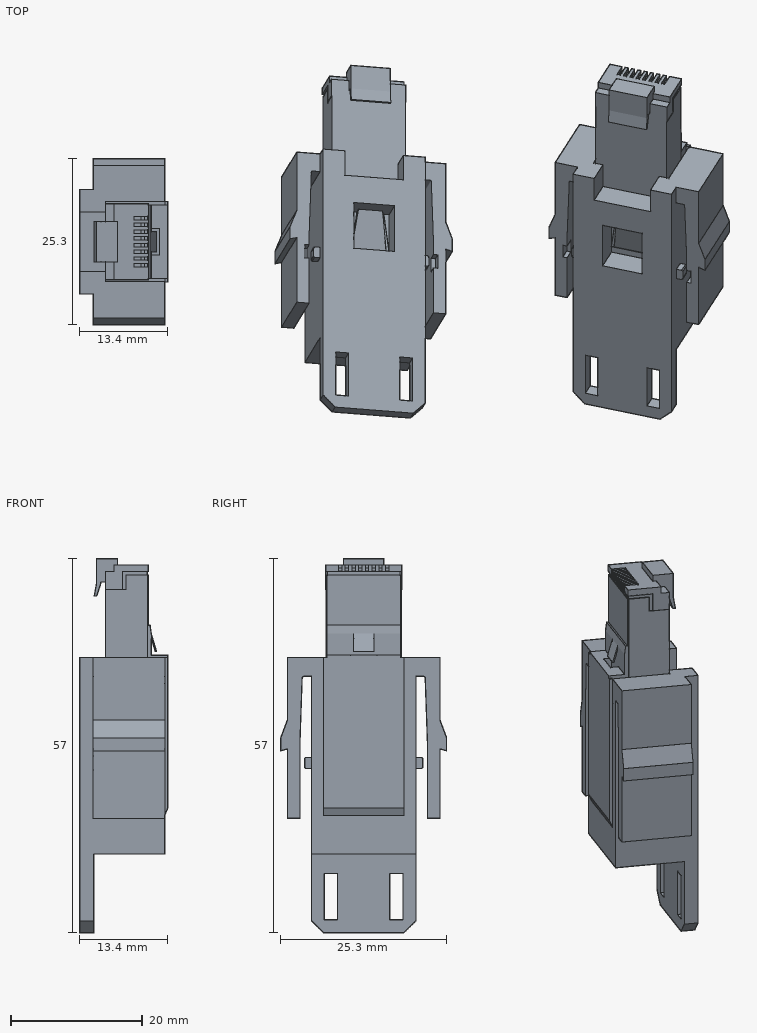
import cadquery as cq


plate_thick = 2.15
body_half = 8.0
body_depth = 13.0
body_bottom = 11.95
body_top = 41.9
corner_run = 1.9
corner_rise = 1.8
notch_half = 4.55
notch_depth = 4.0
slot_inner = 4.0
slot_width = 2.0
slot_bottom = 2.0
slot_height = 7.0

window_half = 3.2
window_bottom = 26.15
window_top = 33.6

lever_sill = 1.1
lever_bottom = window_bottom + lever_sill
lever_taper = 0.85
lever_inset = 0.45
lever_base = 0.1
lever_reach = 1.3

arm_back = 2.05
arm_outer = 11.6
arm_bottom = 17.4
arm_inner_top = 9.35
arm_inner_bottom = 9.7
bridge_thick = 2.9
bridge_fillet = 0.2
taper_end = 29.05
catch_outer = 12.65
catch_top = 32.4
catch_edge = 29.65
catch_root = 27.95
catch_tip = 27.7

pin_reach = 1.0
pin_size = 1.7
pin_chamfer = 0.15
pin_middle = 25.85
pocket_depth = 0.7
pocket_height = 2.15

plug_back = 3.95
plug_front = 10.3
plug_half = 5.75
plug_gap = 0.35
shield_thick = 0.15
shield_half = 5.6
shield_top = 54.45

cap_half = 5.8
cap_top = 56.0
cap_lip_bottom = 54.95
cap_step_front = 5.25
cap_leg_front = 6.55
cap_leg_bottom = 52.2
seam_width = 0.5
seam_depth = 0.2
hook_half = 3.1
hook_back = 2.55
hook_front = 5.8
hook_top = 56.95
hook_shoulder = 53.35
hook_inner = 3.25
hook_bend = 53.1
hook_tip_back = 2.2
hook_tip_front = 2.6
hook_tip = 51.25

contact_count = 8
contact_pitch = 1.0
contact_slot_width = 0.5
contact_slot_back = 8.25
contact_depth = 0.9
contact_back = 9.35
contact_length = 0.5
contact_height = 0.45

cover_front = 13.45
cover_half = 6.15
cover_back = 10.95
cover_top = 42.25
cover_bottom = 17.9
cover_bevel = 1.1
wedge_top = 46.8
wedge_top_front = 10.75
wedge_bend = 45.5
mouth_half = 2.0
mouth_width = 1.25
mouth_depth = 2.3
tongue_half = 1.55
tongue_front = 11.75
tongue_bottom = 42.8
tongue_thick = 0.2
tongue_root = 0.7

shield_front = plug_front + shield_thick


def box(x0, x1, y0, y1, z0, z1):
    """Box between two corners."""
    return cq.Workplane("XY").box(x1 - x0, y1 - y0, z1 - z0, centered=False).translate((x0, y0, z0))


def centred_box(x0, x1, half, z0, z1):
    """Box symmetric about the Y = 0 plane."""
    return box(x0, x1, -half, half, z0, z1)


def profile(points, half):
    """Closed X-Z outline extruded symmetrically to both sides of Y = 0."""
    return cq.Workplane("XZ").polyline(points).close().extrude(half, both=True)


def both_sides(solid):
    """A solid on the +Y side together with its mirror image."""
    return solid.union(solid.mirror("XZ"))


def make_housing():
    plate = (
        cq.Workplane("YZ")
        .polyline([
            (-body_half + corner_run, 0),
            (body_half - corner_run, 0),
            (body_half, corner_rise),
            (body_half, body_top),
            (-body_half, body_top),
            (-body_half, corner_rise),
        ])
        .close()
        .extrude(plate_thick)
    )
    housing = plate.union(centred_box(0, body_depth, body_half, body_bottom, body_top))
    notch = centred_box(0, plug_back, notch_half, body_top - notch_depth, body_top)
    plug_well = centred_box(plug_back, body_depth, plug_half + plug_gap, body_top - notch_depth, body_top)
    window = centred_box(0, plug_back, window_half, window_bottom, window_top)
    slot = box(0, plate_thick, slot_inner, slot_inner + slot_width, slot_bottom, slot_bottom + slot_height)
    return housing.cut(notch).cut(plug_well).cut(both_sides(slot)).cut(window)


def tapered_pad(half_bottom, height):
    """Trapezoid standing out of the back wall of the window, narrowing towards the top."""
    half_top = half_bottom - lever_taper
    return (
        cq.Workplane("YZ", origin=(plug_back, 0, 0))
        .polyline([
            (-half_bottom, lever_bottom),
            (half_bottom, lever_bottom),
            (half_top, window_top),
            (-half_top, window_top),
        ])
        .close()
        .extrude(-height)
    )


def make_lever():
    """Tapered base in the window carrying a narrower lever that leans outward towards the top."""
    base = tapered_pad(window_half, lever_base)
    lean = profile([
        (plug_back, lever_bottom),
        (plug_back - lever_base, lever_bottom),
        (plug_back - lever_reach, window_top),
        (plug_back, window_top),
    ], window_half)
    lever = tapered_pad(window_half - lever_inset, lever_reach).intersect(lean)
    return base.union(lever)


def make_arms():
    bridge_bottom = body_top - bridge_thick
    arm = (
        cq.Workplane("YZ", origin=(arm_back, 0, 0))
        .polyline([
            (body_half, body_top),
            (arm_outer, body_top),
            (arm_outer, catch_top),
            (catch_outer, catch_edge),
            (catch_outer, catch_tip),
            (arm_outer, catch_root),
            (arm_outer, arm_bottom),
            (arm_inner_bottom, arm_bottom),
            (arm_inner_bottom, taper_end),
            (arm_inner_top, bridge_bottom),
            (body_half, bridge_bottom),
        ])
        .close()
        .extrude(body_depth - arm_back)
    )
    arm = arm.edges(
        cq.selectors.NearestToPointSelector(((arm_back + body_depth) / 2, arm_inner_top, bridge_bottom))
    ).fillet(bridge_fillet)
    pocket = box(
        arm_back, arm_back + pin_size,
        arm_inner_bottom, arm_inner_bottom + pocket_depth,
        pin_middle - pocket_height / 2, pin_middle + pocket_height / 2,
    )
    pin = box(
        plate_thick, plate_thick + pin_size,
        body_half, body_half + pin_reach,
        pin_middle - pin_size / 2, pin_middle + pin_size / 2,
    ).faces(">Y").edges("|X").chamfer(pin_chamfer)
    return both_sides(arm.cut(pocket)).union(both_sides(pin))


def make_plug():
    well_floor = body_top - notch_depth
    plug = centred_box(plug_back, plug_front, plug_half, well_floor, cap_lip_bottom)
    return plug.union(centred_box(plug_front, shield_front, shield_half, well_floor, shield_top))


def make_cap():
    cap = profile([
        (plug_back, cap_leg_bottom),
        (cap_leg_front, cap_leg_bottom),
        (cap_leg_front, cap_lip_bottom),
        (shield_front, cap_lip_bottom),
        (shield_front, cap_top),
        (cap_step_front, cap_top),
        (cap_step_front, cap_lip_bottom),
        (plug_back, cap_lip_bottom),
    ], cap_half)
    hook = profile([
        (hook_back, hook_top),
        (hook_front, hook_top),
        (hook_front, hook_shoulder),
        (hook_inner, hook_shoulder),
        (hook_inner, hook_bend),
        (hook_tip_front, hook_tip),
        (hook_tip_back, hook_tip),
        (hook_back, hook_bend),
    ], hook_half)
    return cap.union(hook)


def make_seam():
    """Groove in the plug sides along the edge of the cap."""
    seam = box(
        cap_leg_front, cap_leg_front + seam_width,
        plug_half - seam_depth, plug_half, cap_leg_bottom, cap_lip_bottom,
    ).union(box(cap_leg_front, plug_front, plug_half - seam_depth, plug_half, shield_top, cap_lip_bottom))
    return both_sides(seam)


def make_contact_slots():
    """Row of slots in the cap, each leaving one raised contact standing inside it."""
    floor = cap_top - contact_depth
    slot = centred_box(contact_slot_back, shield_front, contact_slot_width / 2, floor, cap_top)
    contact = centred_box(
        contact_back, contact_back + contact_length, contact_slot_width / 2, floor, floor + contact_height
    )
    slot = slot.cut(contact)
    slots = cq.Workplane("XY")
    for index in range(contact_count):
        offset = (index - (contact_count - 1) / 2) * contact_pitch
        slots = slots.union(slot.translate((0, offset, 0)))
    return slots


def make_cover():
    well_floor = body_top - notch_depth
    panel = profile([
        (body_depth, cover_bottom),
        (cover_front, cover_bottom + cover_bevel),
        (cover_front, body_top),
        (body_depth, body_top),
    ], cover_half)
    block = centred_box(cover_back, cover_front, shield_half, well_floor, cover_top)
    wedge = profile([
        (shield_front, well_floor),
        (cover_back, well_floor),
        (cover_back, wedge_bend),
        (wedge_top_front, wedge_top),
        (shield_front, wedge_top),
    ], shield_half)
    mouth = centred_box(cover_back, cover_back + mouth_width, mouth_half, cover_top - mouth_depth, cover_top)
    tongue = profile([
        (cover_back, wedge_bend),
        (tongue_front, tongue_bottom),
        (tongue_front - tongue_thick, tongue_bottom),
        (cover_back, wedge_bend - tongue_root),
    ], tongue_half)
    return panel.union(block).cut(mouth).union(wedge).union(tongue)


result = (
    make_housing()
    .union(make_lever())
    .union(make_arms())
    .union(make_plug())
    .cut(make_seam())
    .union(make_cap())
    .cut(make_contact_slots())
    .union(make_cover())
)